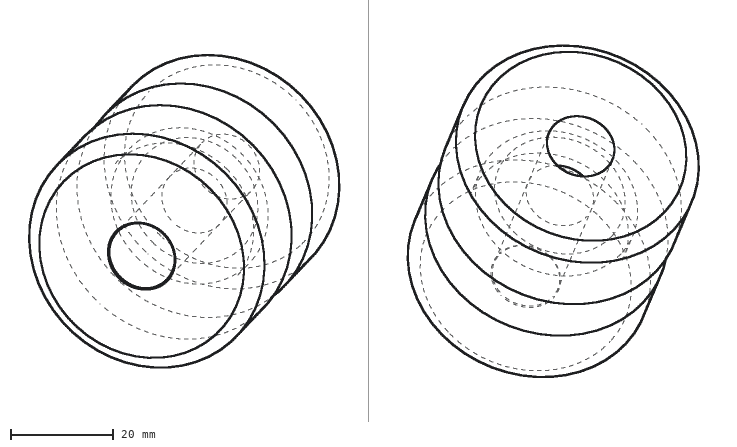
import cadquery as cq

total_length = 52.3
outer_radius = 24.1
disc_length = 19.85
edge_chamfer = 3.15
neck_radius = 16.1
root_fillet = 0.8
bore_radius = 6.7
bore_mouth_bevel = 0.2

front_face = -total_length / 2
back_face = total_length / 2
neck_root = front_face + disc_length
neck_tip = back_face - disc_length


def revolve_about_y(profile):
    """Revolve (y, radius) points a full turn about the Y axis."""
    return (
        cq.Workplane("YZ")
        .polyline(profile)
        .close()
        .revolve(360, (0, 0, 0), (1, 0, 0))
    )


def make_necked_bushing():
    """Front disc with a neck that reaches the plain ring."""
    bushing = revolve_about_y([
        (front_face, bore_radius + bore_mouth_bevel),
        (front_face, outer_radius - edge_chamfer),
        (front_face + edge_chamfer, outer_radius),
        (neck_root, outer_radius),
        (neck_root, neck_radius),
        (neck_tip - edge_chamfer, neck_radius),
        (neck_tip, neck_radius - edge_chamfer),
        (neck_tip, bore_radius),
        (front_face + bore_mouth_bevel, bore_radius),
    ])
    root_edge = cq.selectors.BoxSelector(
        (-outer_radius, neck_root - root_fillet, -outer_radius),
        (outer_radius, neck_root + root_fillet, outer_radius),
        boundingbox=True,
    )
    return bushing.edges("%CIRCLE").edges(root_edge).edges(
        cq.selectors.RadiusNthSelector(0)
    ).fillet(root_fillet)


def make_plain_ring():
    """Back disc, seated flat on the tip of the neck."""
    return revolve_about_y([
        (neck_tip, bore_radius),
        (neck_tip, outer_radius),
        (back_face - edge_chamfer, outer_radius),
        (back_face, outer_radius - edge_chamfer),
        (back_face, bore_radius),
    ])


necked_bushing = make_necked_bushing()
plain_ring = make_plain_ring()

result = cq.Compound.makeCompound([necked_bushing.val(), plain_ring.val()])